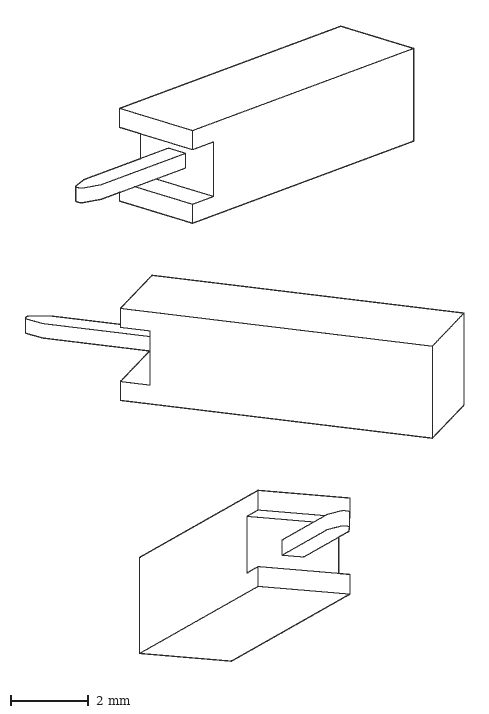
import cadquery as cq

total_length = 11.5
housing_side = 2.54
housing_length = 8.5

slot_depth = 0.8
slot_height = 1.5

pin_width = 0.6
pin_thickness = 0.4
taper_length = 0.56
tip_width = 0.21
pin_edge_radius = 0.1

tip_y = -total_length / 2
back_y = total_length / 2
housing_front_y = back_y - housing_length
slot_floor_y = housing_front_y + slot_depth


def make_housing():
    """Square bar whose front end is slotted from side to side."""
    bar = cq.Workplane("XY").box(housing_side, housing_length, housing_side)
    bar = bar.translate((0, (housing_front_y + back_y) / 2, 0))
    slot = cq.Workplane("XY").box(housing_side, slot_depth, slot_height)
    slot = slot.translate((0, (housing_front_y + slot_floor_y) / 2, 0))
    return bar.cut(slot)


def make_pin():
    """Flat pin standing on the slot floor, rounded at the shoulders and tip corners."""
    shoulder_y = tip_y + taper_length
    blank = (
        cq.Workplane("XY")
        .moveTo(-pin_width / 2, slot_floor_y)
        .lineTo(-pin_width / 2, shoulder_y)
        .lineTo(-tip_width / 2, tip_y)
        .lineTo(tip_width / 2, tip_y)
        .lineTo(pin_width / 2, shoulder_y)
        .lineTo(pin_width / 2, slot_floor_y)
        .close()
        .extrude(pin_thickness / 2, both=True)
    )
    shoulder_and_tip_edges = blank.edges("|Z").edges("not >Y")
    return shoulder_and_tip_edges.fillet(pin_edge_radius)


housing = make_housing()
pin = make_pin()

result = cq.Compound.makeCompound([housing.val(), pin.val()])